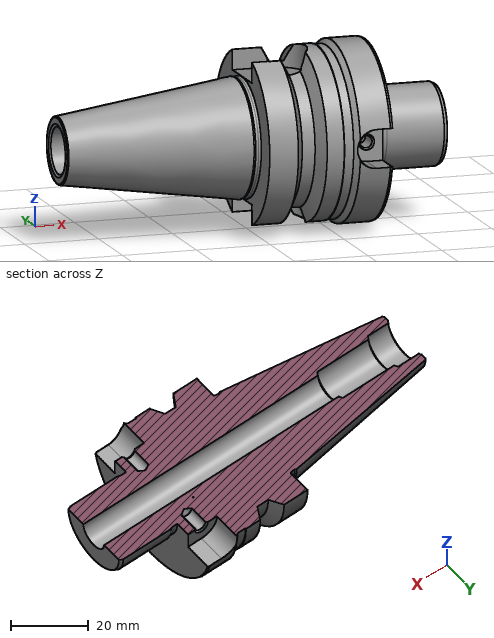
import cadquery as cq
import math

total_length = 102.4

taper_ratio = 7 / 24
taper_large_d = 32.0
taper_end_x = 48.2
nose_chamfer = 0.3
relief_d = 31.5
relief_start_x = 48.7
relief_step_x = 49.5
relief_step_d = 32.0

flange_d = 46.0
flange_start_x = 50.2
flange_end_x = 58.0
groove_d = 38.4
groove_start_x = 60.2
groove_end_x = 63.7
rear_flange_x = 65.7
neck_d = 45.5
neck_start_x = 70.5
neck_end_x = 73.0

collar_d = 48.0
collar_start_x = 74.4
collar_face_x = 83.4
collar_chamfer_length = 0.6
collar_chamfer_depth = 0.2

spigot_d = 22.0
undercut_d = 21.4
undercut_end_x = 84.8
spigot_start_x = 85.8
spigot_chamfer_length = 1.0
spigot_chamfer_depth = 0.5

mouth_d = 13.9
pilot_d = 12.5
pilot_depth = 7.2
thread_d = 10.5
thread_depth = 24.6
through_d = 8.5
mouth_cone_angle = 120.0
thread_lead_in_angle = 120.0
drill_point_angle = 118.0

drive_slot_width = 16.2
drive_slot_tip_x = 67.4
drive_slot_floor = 16.1

key_slot_width = 10.2
key_slot_tip_x = 73.8
key_slot_floor = 15.2
key_hole_d = 3.3
key_hole_mouth_d = 4.2
key_hole_depth = 6.1


def turned(stations):
    """Solid of revolution about X from (x, diameter) stations."""
    points = [(x, diameter / 2) for x, diameter in stations]
    points = [(stations[0][0], 0)] + points + [(stations[-1][0], 0)]
    return cq.Workplane("XY").polyline(points).close().revolve(360, (0, 0, 0), (1, 0, 0))


def make_body():
    def taper_d(x):
        return taper_large_d - taper_ratio * (taper_end_x - x)

    return turned([
        (0, taper_d(0) - 2 * nose_chamfer),
        (nose_chamfer, taper_d(nose_chamfer)),
        (taper_end_x, taper_large_d),
        (relief_start_x, relief_d),
        (relief_step_x, relief_d),
        (flange_start_x, relief_step_d),
        (flange_start_x, flange_d),
        (flange_end_x, flange_d),
        (groove_start_x, groove_d),
        (groove_end_x, groove_d),
        (rear_flange_x, flange_d),
        (neck_start_x, flange_d),
        (neck_start_x, neck_d),
        (neck_end_x, neck_d),
        (collar_start_x, collar_d),
        (collar_face_x - collar_chamfer_length, collar_d),
        (collar_face_x, collar_d - 2 * collar_chamfer_depth),
        (collar_face_x, undercut_d),
        (undercut_end_x, undercut_d),
        (spigot_start_x, spigot_d),
        (total_length - spigot_chamfer_length, spigot_d),
        (total_length, spigot_d - 2 * spigot_chamfer_depth),
    ])


def cone_length(large_d, small_d, included_angle):
    return (large_d - small_d) / 2 / math.tan(math.radians(included_angle / 2))


def make_bore():
    lead_in_length = cone_length(pilot_d, thread_d, thread_lead_in_angle)
    step_length = cone_length(thread_d, through_d, drill_point_angle)
    return turned([
        (0, mouth_d),
        (cone_length(mouth_d, pilot_d, mouth_cone_angle), pilot_d),
        (pilot_depth, pilot_d),
        (pilot_depth + lead_in_length, thread_d),
        (thread_depth, thread_d),
        (thread_depth + step_length, through_d),
        (total_length, through_d),
    ])


def round_ended_slot(tip_x, open_x, width, floor):
    """Slot cutter above Z = floor, rounded at tip_x and open at open_x."""
    radius = width / 2
    direction = math.copysign(1, open_x - tip_x)
    center_x = tip_x + direction * radius
    return (
        cq.Workplane("XY", origin=(0, 0, floor))
        .moveTo(open_x, -radius)
        .lineTo(center_x, -radius)
        .threePointArc((tip_x, 0), (center_x, radius))
        .lineTo(open_x, radius)
        .close()
        .extrude(collar_d / 2 - floor)
    )


def make_key_hole():
    """Countersunk blind hole with a drill point, sunk from the key slot floor."""
    radius = key_hole_d / 2
    mouth_radius = key_hole_mouth_d / 2
    bottom = key_slot_floor - key_hole_depth
    tip = bottom - cone_length(key_hole_d, 0, drill_point_angle)
    countersink_end = key_slot_floor - (mouth_radius - radius)
    hole_x = key_slot_tip_x + key_slot_width / 2
    return (
        cq.Workplane("XZ")
        .moveTo(0, tip)
        .lineTo(radius, bottom)
        .lineTo(radius, countersink_end)
        .lineTo(mouth_radius, key_slot_floor)
        .lineTo(0, key_slot_floor)
        .close()
        .revolve(360, (0, 0, 0), (0, 1, 0))
        .translate((hole_x, 0, 0))
    )


drive_slot = round_ended_slot(drive_slot_tip_x, flange_start_x, drive_slot_width, drive_slot_floor)
key_slot = round_ended_slot(key_slot_tip_x, collar_face_x, key_slot_width, key_slot_floor)
key_cut = key_slot.union(make_key_hole())

result = make_body().cut(make_bore())
for angle in (0, 180):
    result = result.cut(drive_slot.rotate((0, 0, 0), (1, 0, 0), angle))
    result = result.cut(key_cut.rotate((0, 0, 0), (1, 0, 0), angle + 90))